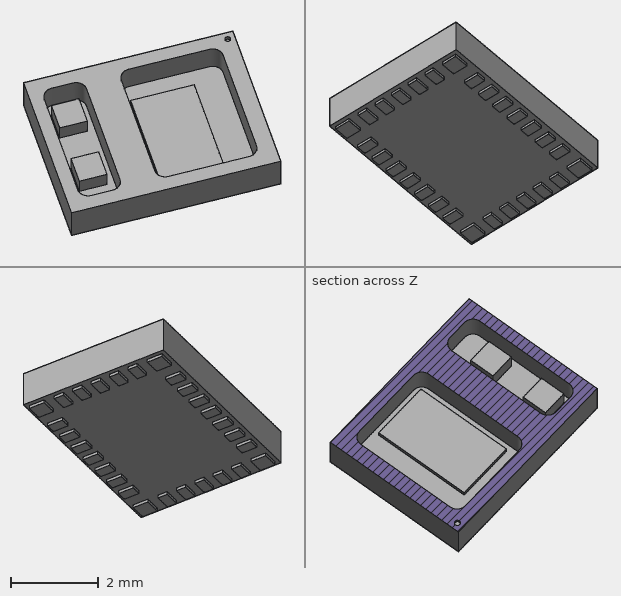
import cadquery as cq

width = 3.8
length = 5.0
height = 0.98
pad_thickness = 0.08

corner_pad_size = 0.4
edge_pad_width = 0.25
pad_pitch = 0.5
pad_edge_gap = 0.1
pads_per_end = 5
pads_per_side = 7

cavity_width = 3.13
cavity_depth = 0.69
cavity_corner_radius = 0.25
sensor_cavity_length = 2.43
sensor_cavity_y = 0.875
led_cavity_length = 1.01
led_cavity_y = -1.675

sensor_width = 2.53
sensor_length = 1.52
sensor_height = 0.1
sensor_center = (0.15, 0.58)
led_size = 0.66
led_height = 0.4
led_y = -1.685
led_x_positions = (-0.975, 0.58)

marker_diameter = 0.13
marker_depth = 0.1
marker_inset = 0.18

floor_z = height - cavity_depth


def block(size_x, size_y, size_z, center, base_z):
    """Upright box centred on an XY point, standing on base_z."""
    box = cq.Workplane("XY").box(size_x, size_y, size_z, centered=(True, True, False))
    return box.translate((center[0], center[1], base_z))


def cavity(size_y, center_y):
    """Cutter for a round-cornered cavity open at the top face."""
    cutter = block(cavity_width, size_y, cavity_depth, (0, center_y), floor_z)
    return cutter.edges("|Z").fillet(cavity_corner_radius)


def row_positions(count):
    """Evenly pitched positions centred on zero."""
    return [(i - (count - 1) / 2) * pad_pitch for i in range(count)]


def pad(size_x, size_y, center):
    return block(size_x, size_y, pad_thickness, center, 0)


result = block(width, length, height - pad_thickness, (0, 0), pad_thickness)
result = result.cut(cavity(sensor_cavity_length, sensor_cavity_y))
result = result.cut(cavity(led_cavity_length, led_cavity_y))

result = result.union(block(sensor_width, sensor_length, sensor_height, sensor_center, floor_z))
for led_x in led_x_positions:
    result = result.union(block(led_size, led_size, led_height, (led_x, led_y), floor_z))

marker = (
    cq.Workplane("XY", origin=(0, 0, height - marker_depth))
    .center(marker_inset - width / 2, length / 2 - marker_inset)
    .circle(marker_diameter / 2)
    .extrude(marker_depth)
)
result = result.cut(marker)

pad_row_x = width / 2 - pad_edge_gap - corner_pad_size / 2
pad_row_y = length / 2 - pad_edge_gap - corner_pad_size / 2
for side_x in (-pad_row_x, pad_row_x):
    for y in row_positions(pads_per_side):
        result = result.union(pad(corner_pad_size, edge_pad_width, (side_x, y)))
    for end_y in (-pad_row_y, pad_row_y):
        result = result.union(pad(corner_pad_size, corner_pad_size, (side_x, end_y)))
for end_y in (-pad_row_y, pad_row_y):
    for x in row_positions(pads_per_end):
        result = result.union(pad(edge_pad_width, corner_pad_size, (x, end_y)))